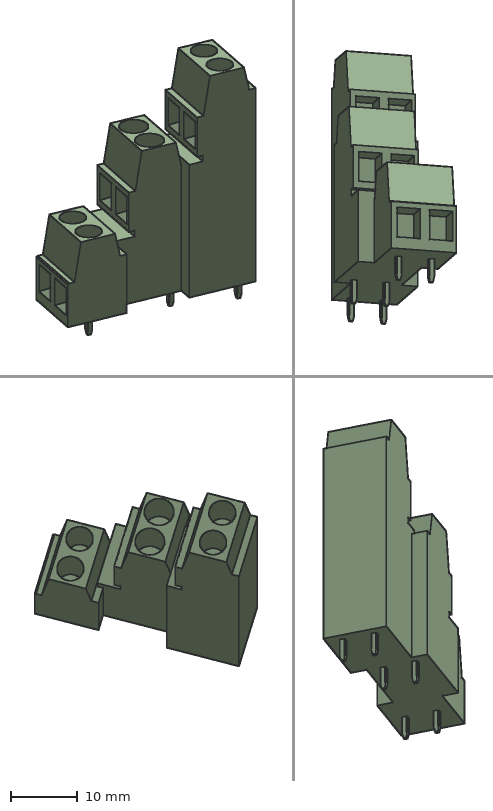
import cadquery as cq
import math


overall_depth = 31.8
pole_pitch = 5.08
poles_per_tier = 2
tier_width = poles_per_tier * pole_pitch
stagger = pole_pitch / 2
tier_rise = 11.37
front_tier_top = 13.86

shoulder_drop = 6.5
shoulder_depth = 1.1
top_front_depth = 2.2
top_rear_depth = 7.97
rear_ledge_front_depth = 8.85
tier_depth = 9.95
rear_ledge_drop = 3.95

undercut_depth = 1.0
undercut_top_drop = 13.15
undercut_height = 1.0

front_face_y = 0.0
middle_face_y = 11.65
back_face_y = overall_depth - tier_depth
middle_shelf_y = 9.03
back_shelf_y = 20.55
front_bevel_depth = 0.25
front_bevel_height = 0.15

entry_width = 3.6
entry_height = 4.6
entry_depth = 2.2
entry_inset = 0.36
entry_drop = 3.27
entry_shift = 0.15

screw_hole_diameter = 4.0
middle_screw_hole_diameter = 4.4
screw_hole_depth = shoulder_drop
screw_depth = 4.85
back_screw_depth = 5.2

pin_width = 0.9
pin_edge_chamfer = 0.12
pin_shank_length = 2.5
pin_tip_length = 1.0
pin_tip_inset = 0.2
middle_pin_y = 20.0
back_pin_y = middle_pin_y + 2 * pole_pitch
front_pin_y = screw_depth


def pole_positions(left):
    """X positions of the pole centres in a tier whose left side is at `left`."""
    return [left + (pole + 0.5) * pole_pitch for pole in range(poles_per_tier)]


def extrude_tier(left, points):
    """Sweep a (Y, Z) outline across the width of a tier."""
    return cq.Workplane("YZ", origin=(left, 0, 0)).polyline(points).close().extrude(tier_width)


def head_outline(face_y, top):
    """Outline points from the bottom rear corner up over the head to the shoulder."""
    rear = face_y + tier_depth
    ledge = top - rear_ledge_drop
    return [
        (rear, 0),
        (rear, ledge),
        (face_y + rear_ledge_front_depth, ledge),
        (face_y + top_rear_depth, top),
        (face_y + top_front_depth, top),
        (face_y + shoulder_depth, top - shoulder_drop),
    ]


def front_tier_block(left, top):
    """Lowest tier: plain front with a small bevel on its top edge."""
    shoulder = top - shoulder_drop
    front_end = [
        (front_face_y + front_bevel_depth, shoulder),
        (front_face_y, shoulder - front_bevel_height),
        (front_face_y, 0),
    ]
    return extrude_tier(left, head_outline(front_face_y, top) + front_end)


def upper_tier_block(left, top, face_y, shelf_y):
    """Raised tier: overhanging face, undercut and a shelf reaching forward."""
    undercut_top = top - undercut_top_drop
    shelf = undercut_top - undercut_height
    front_end = [
        (face_y, top - shoulder_drop),
        (face_y, undercut_top),
        (face_y + undercut_depth, undercut_top),
        (face_y + undercut_depth, shelf),
        (shelf_y, shelf),
        (shelf_y, 0),
    ]
    return extrude_tier(left, head_outline(face_y, top) + front_end)


def screw_hole(x, y, top, diameter):
    """Blind vertical bore opening in the tier top."""
    floor = cq.Workplane("XY", origin=(x, y, top - screw_hole_depth))
    return floor.circle(diameter / 2).extrude(screw_hole_depth)


def wire_entry(x, face_y, top):
    """Rectangular pocket that narrows toward its floor."""
    centre_z = top - shoulder_drop - entry_drop
    taper = math.degrees(math.atan(entry_inset / entry_depth))
    face = cq.Workplane("XZ", origin=(x + entry_shift, face_y, centre_z))
    return face.rect(entry_width, entry_height).extrude(-entry_depth, taper=taper)


def cut_poles(body, left, face_y, top, screw_y, hole_diameter):
    for x in pole_positions(left):
        body = body.cut(screw_hole(x, screw_y, top, hole_diameter))
        body = body.cut(wire_entry(x, face_y, top))
    return body


def make_housing():
    middle_top = front_tier_top + tier_rise
    back_top = middle_top + tier_rise
    body = front_tier_block(stagger, front_tier_top)
    body = body.union(upper_tier_block(0, middle_top, middle_face_y, middle_shelf_y))
    body = body.union(upper_tier_block(stagger, back_top, back_face_y, back_shelf_y))
    body = cut_poles(body, stagger, front_face_y, front_tier_top,
                     front_face_y + screw_depth, screw_hole_diameter)
    body = cut_poles(body, 0, middle_face_y, middle_top,
                     middle_face_y + screw_depth, middle_screw_hole_diameter)
    body = cut_poles(body, stagger, back_face_y, back_top,
                     back_face_y + back_screw_depth, screw_hole_diameter)
    return body


def make_pin(x, y):
    """Square pin with chamfered edges and a tapered tip, hanging from the housing underside."""
    length = pin_shank_length + pin_tip_length
    pin = cq.Workplane("XY", origin=(x, y, -length)).rect(pin_width, pin_width).extrude(length)
    pin = pin.faces("<Z").chamfer(pin_tip_length, pin_tip_inset)
    return pin.edges("|Z").chamfer(pin_edge_chamfer)


housing = make_housing()

pin_rows = [(stagger, front_pin_y), (0, middle_pin_y), (stagger, back_pin_y)]
pins = [make_pin(x, row_y) for left, row_y in pin_rows for x in pole_positions(left)]

result = cq.Compound.makeCompound([housing.val(), *[pin.val() for pin in pins]])